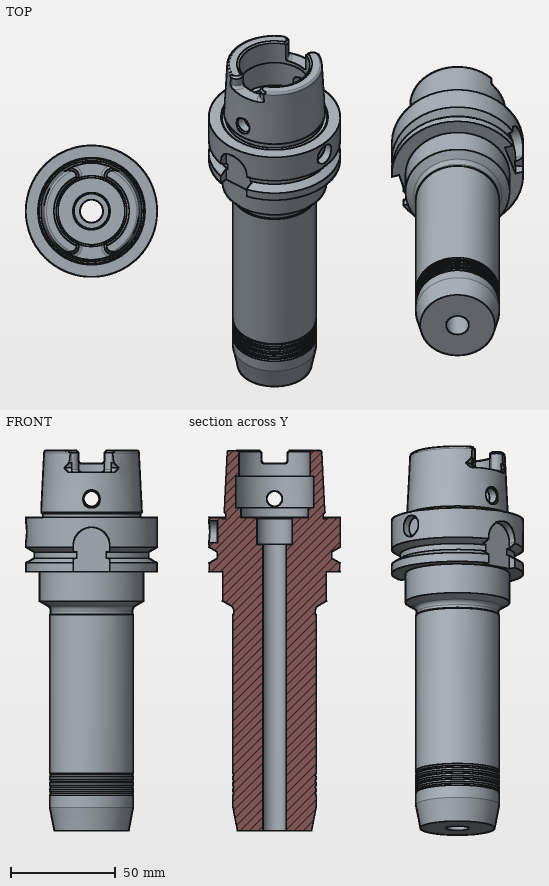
import cadquery as cq
import math

total_height = 181.9
overcut = 1.8

taper_length = 32.0
taper_top_radius = 22.7
taper_base_radius = 24.2
rim_round = 1.1
neck_radius = 23.5
neck_length = 2.4
face_recess_radius = 25.6
face_recess_depth = 0.5

flange_radius = 31.5
flange_width = 26.0
groove_root_radius = 27.5
groove_center_below_face = 18.0
groove_root_half_width = 1.5
groove_flank_angle = 30.0

body_radius = 25.0
body_end_depth = 72.0
body_cone_angle = 30.0
undercut_radius = 19.6
undercut_fillet = 2.7
undercut_end_depth = 78.2
shank_radius = 20.0
nose_radius = 17.8
nose_length = 11.3

ring_count = 4
ring_first_height = 18.0
ring_pitch = 3.0
ring_half_width = 1.0
ring_depth = 0.4

bore_radius = 17.0
bore_chamfer_radial = 1.1
bore_chamfer_axial = 0.5
bore_depth = 12.4
grip_radius = 18.5
grip_end_depth = 27.3
seat_radius = 16.0
seat_depth = 32.0
thread_radius = 8.4
thread_chamfer = 0.5
thread_depth = 45.0
through_radius = 5.5

slot_half_width = 6.2
slot_front_depth = 10.4
slot_back_depth = 6.2
slot_flare_start = 17.0
slot_flare_radius = 3.5
slot_mouth_half_width = 14.5
slot_floor_fillet = 1.5
slot_top_chamfer = 1.1
slot_relief_start_depth = 5.8
slot_relief_full_depth = 8.4
slot_relief_reach = 1.3
slot_relief_inner_x = 9.5

cross_hole_depth = 23.1
cross_hole_radius = 3.6
cross_hole_chamfer = 0.7

keyway_floor = 26.5
keyway_top_below_face = 4.7
keyway_front_half_width = 8.7
keyway_back_half_width = 8.0

pocket_radius = 5.1
pocket_below_face = 7.0
pocket_floor = 27.3

flange_face = total_height - taper_length
flange_bottom = flange_face - flange_width


def tan_deg(angle):
    return math.tan(math.radians(angle))


def outer_body():
    """Revolved outside, from the taper rim down to the nose."""
    groove_center = flange_face - groove_center_below_face
    groove_rise = (flange_radius - groove_root_radius) * tan_deg(groove_flank_angle)
    groove_half_width = groove_root_half_width + groove_rise
    neck_top = flange_face + neck_length
    recess_floor = flange_face - face_recess_depth
    body_end = total_height - body_end_depth
    undercut_end = total_height - undercut_end_depth
    shank_step = shank_radius - undercut_radius

    turn = math.radians(90 - body_cone_angle)
    fillet_center_radius = undercut_radius + undercut_fillet
    cone_end_radius = fillet_center_radius - undercut_fillet * math.cos(turn)
    cone_end = body_end - (body_radius - cone_end_radius) * tan_deg(body_cone_angle)
    fillet_end = cone_end - undercut_fillet * math.sin(turn)
    fillet_mid = (
        fillet_center_radius - undercut_fillet * math.cos(turn / 2),
        fillet_end + undercut_fillet * math.sin(turn / 2),
    )
    return (
        cq.Workplane("XZ")
        .moveTo(0, total_height)
        .lineTo(taper_top_radius - rim_round, total_height)
        .tangentArcPoint((taper_top_radius, total_height - rim_round), relative=False)
        .lineTo(taper_base_radius, neck_top)
        .lineTo(neck_radius, neck_top - (taper_base_radius - neck_radius))
        .lineTo(neck_radius, recess_floor)
        .lineTo(face_recess_radius - face_recess_depth, recess_floor)
        .lineTo(face_recess_radius, flange_face)
        .lineTo(flange_radius, flange_face)
        .lineTo(flange_radius, groove_center + groove_half_width)
        .lineTo(groove_root_radius, groove_center + groove_root_half_width)
        .lineTo(groove_root_radius, groove_center - groove_root_half_width)
        .lineTo(flange_radius, groove_center - groove_half_width)
        .lineTo(flange_radius, flange_bottom)
        .lineTo(body_radius, flange_bottom)
        .lineTo(body_radius, body_end)
        .lineTo(cone_end_radius, cone_end)
        .threePointArc(fillet_mid, (undercut_radius, fillet_end))
        .lineTo(undercut_radius, undercut_end)
        .lineTo(shank_radius, undercut_end - shank_step)
        .lineTo(shank_radius, nose_length)
        .lineTo(nose_radius, 0)
        .lineTo(0, 0)
        .close()
        .revolve(360, (0, 0, 0), (0, 1, 0))
    )


def ring_groove(height):
    """Shallow V groove around the shank."""
    return (
        cq.Workplane("XZ")
        .moveTo(shank_radius - ring_depth, height)
        .lineTo(shank_radius, height + ring_half_width)
        .lineTo(shank_radius + overcut, height + ring_half_width)
        .lineTo(shank_radius + overcut, height - ring_half_width)
        .lineTo(shank_radius, height - ring_half_width)
        .close()
        .revolve(360, (0, 0, 0), (0, 1, 0))
    )


def stepped_bore():
    """Revolved hollow: rim bore, wider grip chamber, seat, thread core and through hole."""
    seat_floor = total_height - seat_depth
    thread_floor = total_height - thread_depth
    return (
        cq.Workplane("XZ")
        .moveTo(0, total_height)
        .lineTo(bore_radius + bore_chamfer_radial, total_height)
        .lineTo(bore_radius, total_height - bore_chamfer_axial)
        .lineTo(bore_radius, total_height - bore_depth)
        .lineTo(grip_radius, total_height - bore_depth)
        .lineTo(grip_radius, total_height - grip_end_depth)
        .lineTo(seat_radius, total_height - grip_end_depth)
        .lineTo(seat_radius, seat_floor)
        .lineTo(thread_radius + thread_chamfer, seat_floor)
        .lineTo(thread_radius, seat_floor - thread_chamfer)
        .lineTo(thread_radius, thread_floor)
        .lineTo(through_radius, thread_floor)
        .lineTo(through_radius, 0)
        .lineTo(0, 0)
        .close()
        .revolve(360, (0, 0, 0), (0, 1, 0))
    )


def slot_outline(height):
    """Slot seen from above: straight walls that flare outward, opening toward +Y."""
    flare_end_x = slot_half_width + slot_flare_radius
    flare_end_y = slot_flare_start + slot_flare_radius
    diagonal = slot_flare_radius * math.sqrt(0.5)
    mid_x = flare_end_x - diagonal
    mid_y = slot_flare_start + diagonal
    outer_y = taper_base_radius + overcut
    return (
        cq.Workplane("XY", origin=(0, 0, height))
        .moveTo(-slot_half_width, 0)
        .lineTo(slot_half_width, 0)
        .lineTo(slot_half_width, slot_flare_start)
        .threePointArc((mid_x, mid_y), (flare_end_x, flare_end_y))
        .lineTo(slot_mouth_half_width, flare_end_y)
        .lineTo(slot_mouth_half_width, outer_y)
        .lineTo(-slot_mouth_half_width, outer_y)
        .lineTo(-slot_mouth_half_width, flare_end_y)
        .lineTo(-flare_end_x, flare_end_y)
        .threePointArc((-mid_x, mid_y), (-slot_half_width, slot_flare_start))
        .close()
    )


def drive_slot(depth):
    """Slot with a rounded floor and chamfered top edges, on the +Y side."""
    walls = slot_outline(total_height - depth).extrude(depth).faces("<Z").edges().fillet(slot_floor_fillet)
    top_edges = slot_outline(total_height - slot_top_chamfer).extrude(slot_top_chamfer, taper=-45)
    return walls.union(top_edges)


def slot_corner_relief():
    """Pair of wedges that widen the mouth of the deeper slot just above its floor, on the +Y side."""
    mouth_y = slot_flare_start + slot_flare_radius
    outer_y = taper_base_radius + overcut
    floor = total_height - slot_front_depth
    relief_start = total_height - slot_relief_start_depth
    wedge = (
        cq.Workplane("YZ", origin=(slot_relief_inner_x, 0, 0))
        .moveTo(mouth_y, relief_start)
        .lineTo(mouth_y - slot_relief_reach, total_height - slot_relief_full_depth)
        .lineTo(mouth_y, floor)
        .lineTo(outer_y, floor)
        .lineTo(outer_y, relief_start)
        .close()
        .extrude(slot_mouth_half_width - slot_relief_inner_x)
    )
    return wedge.union(wedge.mirror("YZ"))


def cross_hole():
    """Hole through both taper walls along Y, countersunk on the outside."""
    height = total_height - cross_hole_depth
    wall_radius = taper_top_radius + (taper_base_radius - taper_top_radius) * cross_hole_depth / taper_length
    countersink_radius = cross_hole_radius + cross_hole_chamfer
    half = (
        cq.Workplane("XY")
        .lineTo(cross_hole_radius, 0)
        .lineTo(cross_hole_radius, wall_radius - cross_hole_chamfer)
        .lineTo(countersink_radius, wall_radius)
        .lineTo(countersink_radius, wall_radius + overcut)
        .lineTo(0, wall_radius + overcut)
        .close()
        .revolve(360, (0, 0, 0), (0, 1, 0))
    )
    return half.union(half.mirror("XZ")).translate((0, 0, height))


def keyway(half_width):
    """Flat-floored keyway with a round top, open at the flange bottom, on the +Y side."""
    top = flange_face - keyway_top_below_face
    return (
        cq.Workplane("XZ", origin=(0, flange_radius + overcut, 0))
        .moveTo(-half_width, flange_bottom)
        .lineTo(-half_width, top - half_width)
        .threePointArc((0, top), (half_width, top - half_width))
        .lineTo(half_width, flange_bottom)
        .close()
        .extrude(flange_radius + overcut - keyway_floor)
    )


def flange_pocket():
    """Blind round hole with a flat floor on the -X side."""
    return (
        cq.Workplane("YZ", origin=(-pocket_floor, 0, flange_face - pocket_below_face))
        .circle(pocket_radius)
        .extrude(-(flange_radius + overcut - pocket_floor))
    )


def on_front(feature):
    """Turn a +Y feature round to the -Y side."""
    return feature.rotate((0, 0, 0), (0, 0, 1), 180)


result = outer_body().cut(stepped_bore())
for index in range(ring_count):
    result = result.cut(ring_groove(ring_first_height + index * ring_pitch))
result = result.cut(drive_slot(slot_back_depth))
result = result.cut(on_front(drive_slot(slot_front_depth)))
result = result.cut(on_front(slot_corner_relief()))
result = result.cut(cross_hole())
result = result.cut(keyway(keyway_back_half_width))
result = result.cut(on_front(keyway(keyway_front_half_width)))
result = result.cut(flange_pocket())